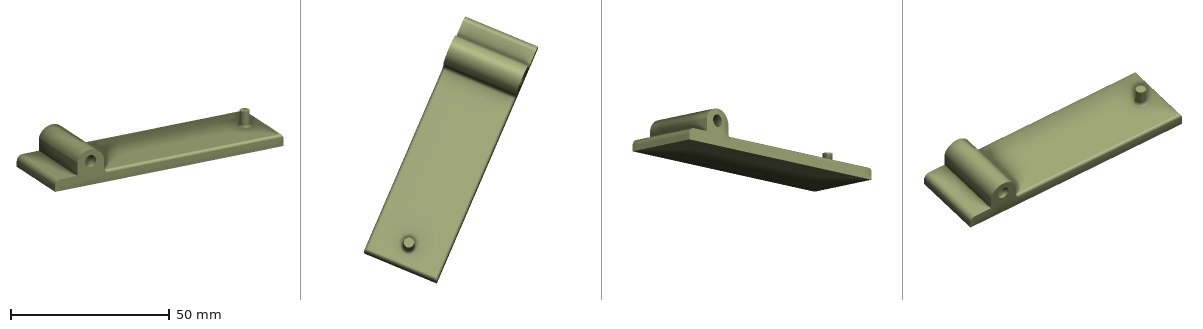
import cadquery as cq
import math

width = 25.0
length = 82.3
thickness = 3.95
edge_radius = 1.0
nose_radius = 2.05
front_y = -length / 2
back_y = length / 2

overall_height = 12.0
dome_radius = 4.9
lug_front_y = front_y + 8.0
lug_back_y = front_y + 17.7
dome_axis_y = lug_back_y - dome_radius
dome_axis_z = overall_height - dome_radius
hole_diameter = 4.0
hole_z = 8.1

pin_diameter = 3.2
pin_y = back_y - 7.0
pin_top_z = 9.3

foot_radius = 1.0


def make_plate():
    """Rear plate with its upper edges rounded on both sides and at the back."""
    plate_length = back_y - lug_back_y
    plate = cq.Workplane("XY").box(width, plate_length, thickness, centered=(True, False, False))
    plate = plate.translate((0, lug_back_y, 0))
    return plate.faces(">Z").edges("not <Y").fillet(edge_radius)


def make_hinge():
    """Front block: a rounded nose, and a domed lug cut flat on its front."""
    front_offset = dome_axis_y - lug_front_y
    dome_start_z = dome_axis_z + math.sqrt(dome_radius**2 - front_offset**2)
    profile = (
        cq.Workplane("YZ", origin=(-width / 2, 0, 0))
        .moveTo(front_y, 0)
        .lineTo(front_y, thickness - nose_radius)
        .radiusArc((front_y + nose_radius, thickness), nose_radius)
        .lineTo(lug_front_y, thickness)
        .lineTo(lug_front_y, dome_start_z)
        .threePointArc((dome_axis_y, overall_height), (lug_back_y, dome_axis_z))
        .lineTo(lug_back_y, 0)
        .close()
    )
    return profile.extrude(width)


def make_hole():
    """Hinge pin hole through the whole width of the lug."""
    start = cq.Workplane("YZ", origin=(-width / 2, dome_axis_y, hole_z))
    return start.circle(hole_diameter / 2).extrude(width)


def make_lug_foot():
    """Concave blend that follows the plate's flat top and its rounded side edges."""
    bend_x = width / 2 - edge_radius
    bend_z = thickness - edge_radius

    def blend_section():
        """Section at the left bend axis: along the plate, then outward from the axis."""
        return (
            cq.Workplane("YZ", origin=(-bend_x, 0, bend_z))
            .moveTo(lug_back_y, 0)
            .lineTo(lug_back_y, edge_radius + foot_radius)
            .radiusArc((lug_back_y + foot_radius, edge_radius), -foot_radius)
            .lineTo(lug_back_y + foot_radius, 0)
            .close()
        )

    straight = blend_section().extrude(2 * bend_x)
    corner = blend_section().revolve(360, (0, 0, 0), (1, 0, 0))
    limits = cq.Workplane("XY").box(width, length, overall_height, centered=(True, True, False))
    foot = straight.union(corner).union(corner.mirror("YZ"))
    return foot.intersect(limits)


def make_pin():
    """Round pin flaring out into the top of the plate."""
    pin_radius = pin_diameter / 2
    profile = (
        cq.Workplane("XZ", origin=(0, pin_y, 0))
        .moveTo(0, thickness / 2)
        .lineTo(pin_radius + foot_radius, thickness / 2)
        .lineTo(pin_radius + foot_radius, thickness)
        .radiusArc((pin_radius, thickness + foot_radius), foot_radius)
        .lineTo(pin_radius, pin_top_z)
        .lineTo(0, pin_top_z)
        .close()
    )
    return profile.revolve(360, (0, 0, 0), (0, 1, 0))


result = make_plate().union(make_hinge()).union(make_lug_foot()).union(make_pin()).cut(make_hole())